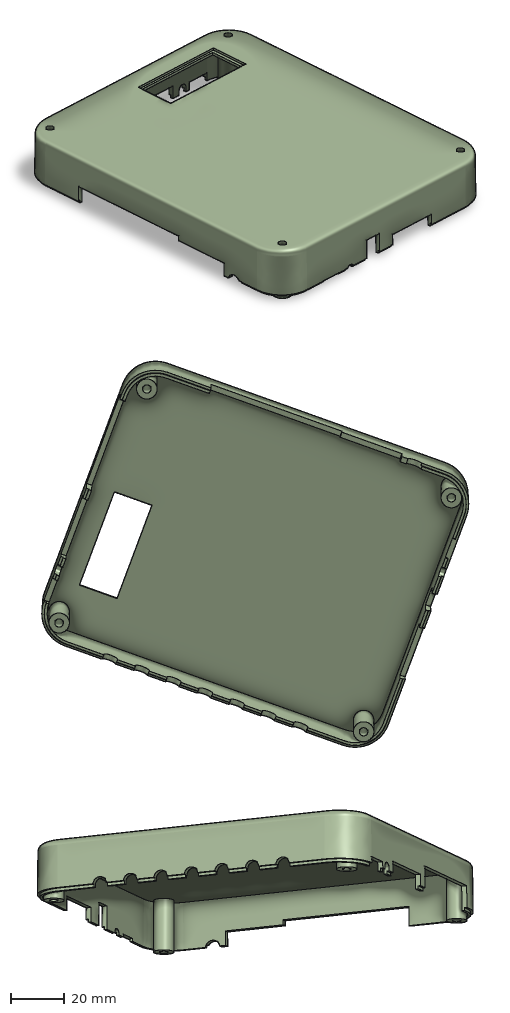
import cadquery as cq
import math

length = 137.9
width = 112.2
shell_height = 20.3
post_drop = 1.7
draft_angle = 0.8
corner_radius = 13.4
top_fillet = 2.8
wall = 2.0
top_thickness = 2.0

rabbet_height = 1.1
rabbet_depth = 1.0

rim_flare = rabbet_height * math.tan(math.radians(draft_angle))
rim_length = length + 2 * rim_flare
rim_width = width + 2 * rim_flare

post_x = 61.0
post_y = 48.0
post_diameter = 7.7
screw_diameter = 3.2

window_x_min, window_x_max = -57.2, -42.2
window_y_min, window_y_max = -2.3, 35.8
ledge_side = 1.0
ledge_low_y = 0.8
ledge_high_y = 1.4
ledge_depth = 1.0

front_opening_half = 38.2
front_step_x = 14.2
front_tall = 7.5
front_low = 5.5
front_arch_x = 43.5
front_arch_radius = 3.0
front_arch_height = 2.5

cable_count = 7
cable_pitch = 12.7
cable_radius = 2.8
cable_height = 3.6

left_openings = [
    (33.2, 42.7, 3.5),
    (0.3, 24.3, 5.5),
    (-40.3, -3.7, 9.5),
]
left_arch_y = 29.5
left_arch_radius = 1.8
left_arch_height = 4.0

right_openings = [
    (3.3, 24.3, 5.5),
    (-10.6, -3.7, 9.0),
    (-33.1, -25.1, rabbet_height),
]
right_arch_y = -19.5
right_arch_radius = 1.8
right_arch_height = 2.0

cutter_reach = 2 * wall
clearance = 1.4


def box(x_min, x_max, y_min, y_max, z_min, z_max):
    """Axis-aligned box given by its limits."""
    return cq.Workplane("XY").box(
        x_max - x_min, y_max - y_min, z_max - z_min, centered=False
    ).translate((x_min, y_min, z_min))


def drafted_block(inset, height):
    """Rounded rectangle, inset from the rim outline, narrowing upwards by the draft."""
    outline = cq.Sketch().rect(rim_length - 2 * inset, rim_width - 2 * inset)
    outline = outline.vertices().fillet(corner_radius - inset)
    return cq.Workplane("XY").placeSketch(outline).extrude(height, taper=draft_angle)


def arch(radius, height):
    """Round-topped cutter along +Y, rising from the rim at x = 0, centred on y = 0."""
    center_z = height - radius
    slot = cq.Workplane("XZ").center(0, center_z).circle(radius).extrude(cutter_reach, both=True)
    if center_z > 0:
        slot = slot.union(box(-radius, radius, -cutter_reach, cutter_reach, 0, center_z))
    return slot


def make_shell():
    """Hollow drafted cover with a rounded top edge."""
    outer = drafted_block(0, shell_height).faces(">Z").edges().fillet(top_fillet)
    return outer.cut(drafted_block(wall, shell_height - top_thickness))


def make_rabbet():
    """Ring cut around the rim, left out beside the front cable arch."""
    plate = cq.Workplane("XY").rect(length + 2 * clearance, width + 2 * clearance).extrude(rabbet_height)
    ring = plate.cut(drafted_block(rabbet_depth, rabbet_height))
    kept_pad = box(
        front_opening_half, front_arch_x,
        -width / 2 - 2 * clearance, -width / 2 + cutter_reach,
        0, rabbet_height,
    )
    return ring.cut(kept_pad)


def post_cylinders(diameter, z_min, z_max):
    """One vertical cylinder at each corner."""
    base = cq.Workplane("XY").workplane(offset=z_min).rect(2 * post_x, 2 * post_y, forConstruction=True)
    return base.vertices().circle(diameter / 2).extrude(z_max - z_min)


def make_window():
    """Display opening with a shallow ledge around it."""
    opening = box(
        window_x_min, window_x_max, window_y_min, window_y_max,
        shell_height - top_thickness - clearance, shell_height + clearance,
    )
    ledge = box(
        window_x_min - ledge_side, window_x_max + ledge_side,
        window_y_min - ledge_low_y, window_y_max + ledge_high_y,
        shell_height - ledge_depth, shell_height + clearance,
    )
    return opening.union(ledge)


def cut_front_wall(body):
    y_min, y_max = -width / 2 - clearance, -width / 2 + cutter_reach
    body = body.cut(box(-front_opening_half, front_step_x, y_min, y_max, 0, front_tall))
    body = body.cut(box(front_step_x, front_opening_half, y_min, y_max, 0, front_low))
    notch = arch(front_arch_radius, front_arch_height)
    return body.cut(notch.translate((front_arch_x, -width / 2, 0)))


def cut_back_wall(body):
    notch = arch(cable_radius, cable_height)
    for index in range(cable_count):
        x = (index - (cable_count - 1) / 2) * cable_pitch
        body = body.cut(notch.translate((x, width / 2, 0)))
    return body


def cut_side_wall(body, side, openings, arch_y, arch_radius, arch_height):
    """Cut the wall at -X (side = -1) or +X (side = 1)."""
    wall_x = side * length / 2
    for y_min, y_max, height in openings:
        body = body.cut(box(wall_x - cutter_reach, wall_x + cutter_reach, y_min, y_max, 0, height))
    notch = arch(arch_radius, arch_height).rotate((0, 0, 0), (0, 0, 1), 90)
    return body.cut(notch.translate((wall_x, arch_y, 0)))


cover = make_shell().cut(make_rabbet())
cover = cut_front_wall(cover)
cover = cut_back_wall(cover)
cover = cut_side_wall(cover, -1, left_openings, left_arch_y, left_arch_radius, left_arch_height)
cover = cut_side_wall(cover, 1, right_openings, right_arch_y, right_arch_radius, right_arch_height)
cover = cover.union(post_cylinders(post_diameter, -post_drop, shell_height - top_thickness / 2))
cover = cover.cut(post_cylinders(screw_diameter, -post_drop - clearance, shell_height + clearance))
result = cover.cut(make_window())